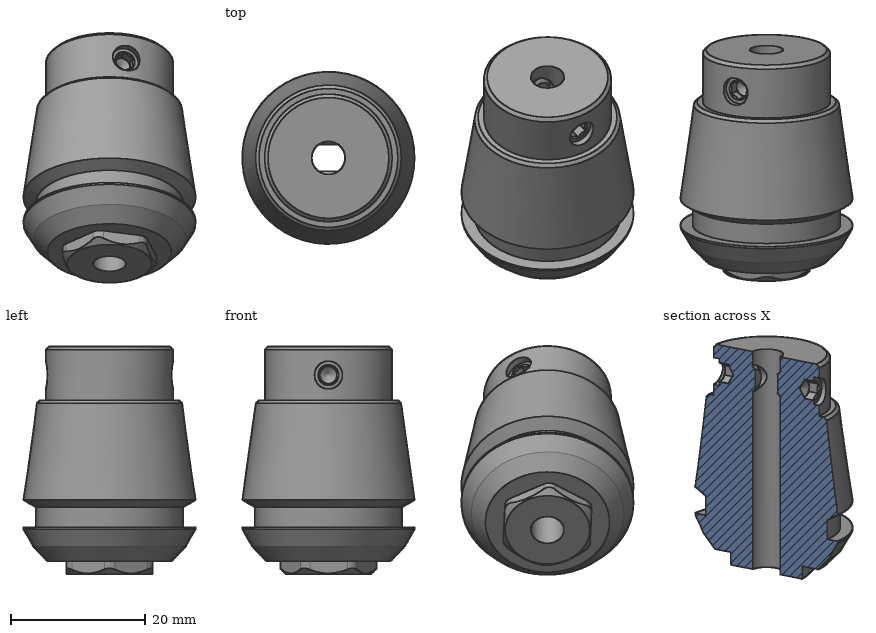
import cadquery as cq
import math

total_height = 34.0
hex_height = 1.97
flange_knee_z = 4.18
flange_rim_z = 6.73
flange_top_z = 7.05
groove_top_z = 10.03
sleeve_widest_z = 11.12
sleeve_chamfer_z = 25.55
sleeve_top_z = 25.98

collar_diameter = 19.0
collar_chamfer = 0.5
sleeve_top_diameter = 20.67
sleeve_shoulder_diameter = 21.7
sleeve_diameter = 25.7
groove_diameter = 22.0
flange_diameter = 25.67
flange_knee_diameter = 22.75
flange_bottom_diameter = 18.5
bore_diameter = 4.93

hex_across_flats = 12.92
hex_corner_radius = 1.6
hex_face_diameter = 12.58

screw_diameter = 4.15
screw_z = 29.7
screw_recess = 1.02
screw_tip_y = 1.97
screw_tip_chamfer = 0.58
socket_across_flats = 2.55
socket_rim_diameter = 3.05
socket_depth = 1.7
socket_cone_depth = 0.78


def turned(points):
    """Revolve a closed (radius, height) outline around Z."""
    return cq.Workplane("XZ").polyline(points).close().revolve(360, (0, 0), (0, 1))


def turned_body():
    collar_radius = collar_diameter / 2
    return turned([
        (0, hex_height),
        (flange_bottom_diameter / 2, hex_height),
        (flange_knee_diameter / 2, flange_knee_z),
        (flange_diameter / 2, flange_rim_z),
        (flange_diameter / 2, flange_top_z),
        (groove_diameter / 2, flange_top_z),
        (groove_diameter / 2, groove_top_z),
        (sleeve_diameter / 2, sleeve_widest_z),
        (sleeve_shoulder_diameter / 2, sleeve_chamfer_z),
        (sleeve_top_diameter / 2, sleeve_top_z),
        (collar_radius, sleeve_top_z),
        (collar_radius, total_height - collar_chamfer),
        (collar_radius - collar_chamfer, total_height),
        (0, total_height),
    ])


def hex_foot():
    """Hexagon with flats facing Y, its bottom edge cut back by a 45 degree cone."""
    face_radius = hex_face_diameter / 2
    hexagon = (
        cq.Workplane("XY")
        .polygon(6, hex_across_flats / math.cos(math.pi / 6))
        .extrude(hex_height)
        .edges("|Z")
        .fillet(hex_corner_radius)
    )
    chamfer_cone = turned([
        (0, 0),
        (face_radius, 0),
        (face_radius + hex_height, hex_height),
        (0, hex_height),
    ])
    return hexagon.intersect(chamfer_cone)


def turned_about_y(points):
    """Revolve a closed (radius, y) outline around the screw axis."""
    blank = cq.Workplane("XY").polyline(points).close().revolve(360, (0, 0), (0, 1))
    return blank.translate((0, 0, screw_z))


def screw_socket(head_y):
    """Hexagonal socket with corners up and down, a countersunk rim and a conical bottom."""
    rim_radius = socket_rim_diameter / 2
    drill_radius = socket_across_flats / 2
    socket_end_y = head_y + socket_depth
    hexagon = (
        cq.Workplane("XZ", origin=(0, head_y, screw_z))
        .transformed(rotate=(0, 0, 90))
        .polygon(6, socket_across_flats / math.cos(math.pi / 6))
        .extrude(-socket_depth)
    )
    countersink = turned_about_y([(0, head_y), (rim_radius, head_y), (0, head_y + rim_radius)])
    drill_point = turned_about_y([
        (0, head_y),
        (drill_radius, head_y),
        (drill_radius, socket_end_y),
        (0, socket_end_y + socket_cone_depth),
    ])
    return hexagon.union(countersink).union(drill_point)


def set_screw():
    """Screw on the -Y side, with its chamfered flat tip standing in the bore."""
    screw_radius = screw_diameter / 2
    head_y = screw_recess - collar_diameter / 2
    blank = turned_about_y([
        (0, -screw_tip_y),
        (screw_radius - screw_tip_chamfer, -screw_tip_y),
        (screw_radius, -screw_tip_y - screw_tip_chamfer),
        (screw_radius, head_y),
        (0, head_y),
    ])
    return blank.cut(screw_socket(head_y))


bore = cq.Workplane("XY").circle(bore_diameter / 2).extrude(total_height)
screw_hole = (
    cq.Workplane("XZ", origin=(0, 0, screw_z))
    .circle(screw_diameter / 2)
    .extrude(collar_diameter, both=True)
)

result = turned_body().union(hex_foot()).cut(bore).cut(screw_hole)
for turn in (0, 180):
    result = result.union(set_screw().rotate((0, 0, 0), (0, 0, 1), turn))